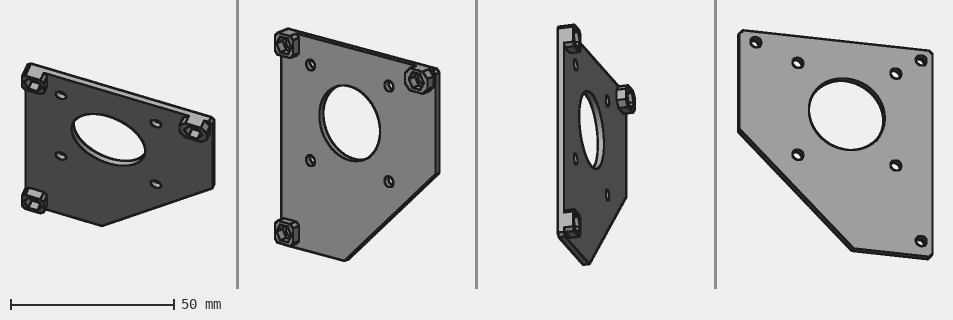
import cadquery as cq

width = 61.0
height = 69.5
plate_thickness = 2.0
total_depth = 5.0
corner_chamfer = 1.1
large_corner_cut = 36.0

motor_x = 27.1
motor_z = height - 24.45
motor_opening_diameter = 24.0
screw_spacing = 31.0
hole_diameter = 3.4

boss_size = 7.15
wide_boss_width = 8.8
wide_boss_chamfer = 1.9
boss_inset = boss_size / 2
right_boss_inset = 5.15
bottom_boss_inset = 5.0
nut_across_corners = 5.9
nut_pocket_depth = total_depth - plate_thickness

bosses = [
    (boss_inset, height - boss_inset, boss_size, corner_chamfer),
    (boss_inset, bottom_boss_inset, boss_size, corner_chamfer),
    (width - right_boss_inset, height - boss_inset, wide_boss_width, wide_boss_chamfer),
]


def front_plane(y):
    """Sketch plane facing -Y, with sketch axes along X and Z."""
    return cq.Workplane("XZ", origin=(0, y, 0))


def make_plate():
    outline = [
        (0, 0),
        (width - large_corner_cut, 0),
        (width, large_corner_cut),
        (width, height),
        (0, height),
    ]
    plate = front_plane(0).polyline(outline).close().extrude(plate_thickness)
    left_corners = plate.edges("|Y and <X")
    top_right_corner = plate.edges("|Y and >X").edges(">Z")
    return left_corners.add(top_right_corner).chamfer(corner_chamfer)


def make_boss(x, z, boss_width, chamfer):
    """Chamfered block standing on the front face of the plate."""
    block = front_plane(-plate_thickness).center(x, z).rect(boss_width, boss_size)
    return block.extrude(total_depth - plate_thickness).edges("|Y").chamfer(chamfer)


def make_nut_pocket(x, z):
    """Hexagonal pocket with two corners pointing along X."""
    hexagon = front_plane(-total_depth).center(x, z).polygon(6, nut_across_corners)
    return hexagon.extrude(-nut_pocket_depth)


def make_hole(x, z, diameter):
    return front_plane(0).center(x, z).circle(diameter / 2).extrude(total_depth)


result = make_plate()

for x, z, boss_width, chamfer in bosses:
    result = result.union(make_boss(x, z, boss_width, chamfer))

for x, z, _, _ in bosses:
    result = result.cut(make_nut_pocket(x, z))
    result = result.cut(make_hole(x, z, hole_diameter))

result = result.cut(make_hole(motor_x, motor_z, motor_opening_diameter))

for x_side in (-1, 1):
    for z_side in (-1, 1):
        screw_x = motor_x + x_side * screw_spacing / 2
        screw_z = motor_z + z_side * screw_spacing / 2
        result = result.cut(make_hole(screw_x, screw_z, hole_diameter))